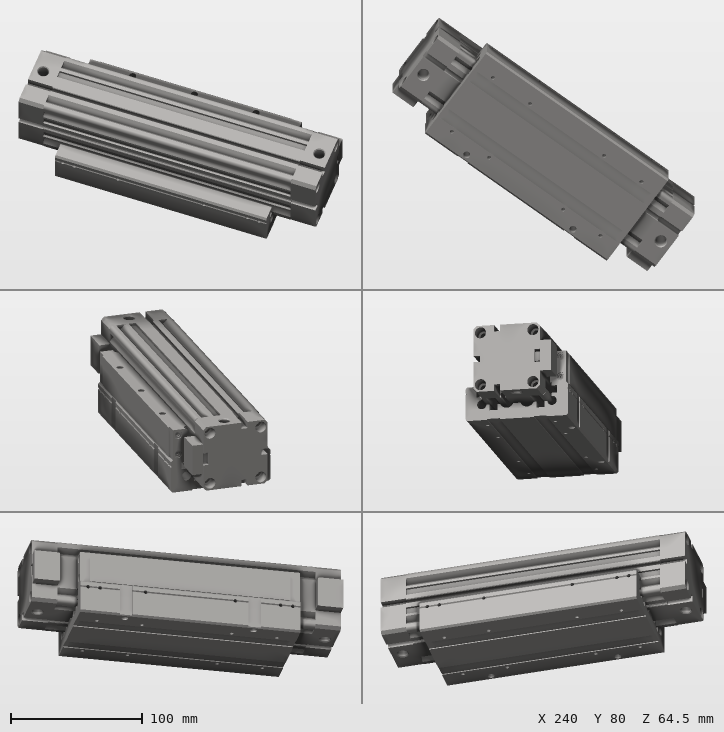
import cadquery as cq


total_length = 240.0
body_width = 51.5
body_height = 51.8
half_width = body_width / 2
half_height = body_height / 2
cap_length = 20.0
tube_length = total_length - 2 * cap_length
carriage_length = 171.0
carriage_width = 80.0
carriage_half = carriage_width / 2
total_height = 64.5
carriage_bottom = half_height - total_height
carriage_top = -12.2

tube_corner_radius = 3.0
v_groove_offset = 17.0
v_groove_half = 3.5
shallow_groove_half = 3.0
shallow_groove_depth = 2.0
side_shallow_offset = 8.6
top_shallow_offset = 7.7
t_slot_offset = -7.5
t_slot_lip_half = 1.5
t_slot_lip_chamfer = 0.5
t_slot_bore_radius = 2.0
t_slot_bore_depth = 2.5

cap_chamfer = 2.5
cap_slot_half = 2.5
cap_slot_depth = 5.0
corner_hole_offset = 20.5
corner_hole_radius = 2.6
corner_bore_radius = 4.3
corner_bore_depth = 12.0
port_x = 111.5
port_y = 6.0
port_radius = 4.0
port_mouth_radius = 4.8
key_slot_half = 5.0
key_slot_depth = 4.3

stop_width = 8.6
stop_height = 24.0
stop_inset = 0.2
stop_chamfer = 0.7
key_half = 3.5
key_setback = 2.5

carriage_chamfer = 1.5
lip_chamfer = 0.7
channel_half = 27.0
channel_floor = -26.6
side_pocket_half = 31.5
side_pocket_top = -14.6
side_pocket_bottom = -20.5
corner_relief_y = 27.4
corner_relief_z = -26.5
corner_relief_radius = 3.5
square_groove_y = 18.2
square_groove_width = 6.2
square_groove_depth = 4.5
round_groove_y = 8.0
round_groove_half = 5.0
round_groove_depth = 3.4
base_groove_y = 18.2
base_groove_width = 9.8
base_groove_depth = 0.7
side_line_z = -17.5
side_line_size = 0.7
side_hole_xs = (34.8, 70.0, 79.5)
side_hole_radius = 1.5
side_hole_depth = 4.8
drain_hole_xs = (34.8, 69.8)
drain_hole_radius = 1.5
mount_hole_x = 50.0
mount_hole_y = 34.5
mount_hole_radius = 2.6
edge_notch_width = 9.5
edge_notch_depth = 0.7

bracket_height = -2 * carriage_top
bracket_inner = 26.0
bracket_outer = 39.0
bracket_chamfer = 0.7
end_block_outer = 38.5
end_block_length = 7.7
middle_hole_depth = 4.8
socket_steps = ((3.0, 1.0), (2.2, 2.0), (1.2, 3.0))
end_socket_y = 34.3
end_socket_z = 8.0
top_socket_x = 83.0
top_socket_y = 25.5


def box(x_range, y_range, z_range):
    """Box between two X, two Y and two Z values."""
    (x0, x1), (y0, y1), (z0, z1) = x_range, y_range, z_range
    return cq.Workplane("XY").box(x1 - x0, y1 - y0, z1 - z0, centered=False).translate((x0, y0, z0))


def cylinder(start, direction, radius, length):
    """Cylinder from a start point along a direction."""
    return cq.Workplane(obj=cq.Solid.makeCylinder(radius, length, cq.Vector(*start), cq.Vector(*direction)))


def bar(half_length, y, z, width, height):
    """Bar along X with its section centred on (y, z)."""
    return cq.Workplane("XY").box(2 * half_length, width, height).translate((0, y, z))


def mirrored(solid):
    """Copy of a solid on the other X end."""
    return solid.mirror("YZ")


TOP, PLUS_Y, BOTTOM, MINUS_Y = 0, -90, 180, 90
sensor_slots = ((TOP, t_slot_offset), (BOTTOM, -t_slot_offset), (MINUS_Y, 0))
side_distance = {TOP: half_height, BOTTOM: half_height, PLUS_Y: half_width, MINUS_Y: half_width}


def on_side(cutter, side):
    """Move a cutter made at Z = 0 below a +Z facing surface onto a side of the body."""
    return cutter.translate((0, 0, side_distance[side])).rotate((0, 0, 0), (1, 0, 0), side)


def v_cutter(y, half, depth):
    """V-shaped cutter along the tube, open at Z = 0."""
    return (
        cq.Workplane("YZ", origin=(-tube_length / 2, 0, 0))
        .moveTo(y - half, 0)
        .lineTo(y + half, 0)
        .lineTo(y, -depth)
        .close()
        .extrude(tube_length)
    )


def t_slot(y):
    """Sensor slot cutter: a chamfered narrow lip above a round bore."""
    lip = bar(tube_length / 2, y, -t_slot_bore_depth / 2, 2 * t_slot_lip_half, t_slot_bore_depth)
    mouth_half = t_slot_lip_half + t_slot_lip_chamfer
    mouth = v_cutter(y, mouth_half, mouth_half)
    bore_start = (-tube_length / 2, y, -t_slot_bore_depth)
    return lip.union(mouth).union(cylinder(bore_start, (1, 0, 0), t_slot_bore_radius, tube_length))


def shallow_groove(y):
    """Flat shallow groove cutter."""
    return bar(tube_length / 2, y, -shallow_groove_depth / 2, 2 * shallow_groove_half, shallow_groove_depth)


def make_tube():
    tube = cq.Workplane("XY").box(tube_length, body_width, body_height).edges("|X").fillet(tube_corner_radius)
    for side in (TOP, PLUS_Y, BOTTOM, MINUS_Y):
        for sign in (-1, 1):
            groove = v_cutter(sign * v_groove_offset, v_groove_half, v_groove_half)
            tube = tube.cut(on_side(groove, side))
    for sign in (-1, 1):
        tube = tube.cut(on_side(shallow_groove(sign * side_shallow_offset), MINUS_Y))
    tube = tube.cut(on_side(shallow_groove(top_shallow_offset), TOP))
    for side, y in sensor_slots:
        tube = tube.cut(on_side(t_slot(y), side))
    return tube


def make_end_cap():
    """End cap on the -X end."""
    outer_x = -total_length / 2
    inner_x = outer_x + cap_length
    cap = cq.Workplane("XY").box(cap_length, body_width, body_height).edges("|X").chamfer(cap_chamfer)
    cap = cap.translate((outer_x + cap_length / 2, 0, 0))

    for side, y in sensor_slots:
        slot = bar(total_length, y, -cap_slot_depth / 2, 2 * cap_slot_half, cap_slot_depth)
        cap = cap.cut(on_side(slot, side))

    for y in (-corner_hole_offset, corner_hole_offset):
        for z in (-corner_hole_offset, corner_hole_offset):
            cap = cap.cut(cylinder((outer_x, y, z), (1, 0, 0), corner_hole_radius, cap_length))
            cap = cap.cut(cylinder((outer_x, y, z), (1, 0, 0), corner_bore_radius, corner_bore_depth))

    port = cq.Workplane("XY").center(-port_x, port_y).circle(port_radius).extrude(half_height, both=True)
    cap = cap.cut(port)
    mouth_depth = port_mouth_radius - port_radius
    for sign in (-1, 1):
        mouth = cq.Solid.makeCone(
            port_mouth_radius, port_radius, mouth_depth,
            cq.Vector(-port_x, port_y, sign * half_height), cq.Vector(0, 0, -sign),
        )
        cap = cap.cut(cq.Workplane(obj=mouth))

    return cap.cut(
        box((outer_x, inner_x), (half_width - key_slot_depth, half_width), (-key_slot_half, key_slot_half))
    )


def make_stop_block():
    """Stop block on the -X end cap, with a key that enters the cap's key slot."""
    outer_x = -total_length / 2 + stop_inset
    inner_x = -total_length / 2 + cap_length
    half = stop_height / 2
    block = box((outer_x, inner_x), (half_width, half_width + stop_width), (-half, half))
    block = block.edges("|Y and >X").chamfer(stop_chamfer)
    key_y = (half_width - key_slot_depth, half_width)
    key = box((outer_x + key_setback, inner_x), key_y, (-key_half, key_half))
    return block.union(key)


def carriage_body():
    """U-shaped carriage with its lengthwise pockets and grooves."""
    half_length = carriage_length / 2
    height = carriage_top - carriage_bottom
    middle_z = (carriage_top + carriage_bottom) / 2
    body = bar(half_length, 0, middle_z, carriage_width, height).edges("|X").chamfer(carriage_chamfer)

    channel_height = carriage_top - channel_floor
    channel_z = (carriage_top + channel_floor) / 2
    body = body.cut(bar(half_length, 0, channel_z, 2 * channel_half, channel_height))
    inner_lips = cq.selectors.BoxSelector(
        (-half_length, -channel_half - lip_chamfer, carriage_top - lip_chamfer),
        (half_length, channel_half + lip_chamfer, carriage_top + lip_chamfer),
    )
    body = body.edges(inner_lips).edges("|X").chamfer(lip_chamfer)

    pocket_z = (side_pocket_top + side_pocket_bottom) / 2
    pocket_height = side_pocket_top - side_pocket_bottom
    body = body.cut(bar(half_length, 0, pocket_z, 2 * side_pocket_half, pocket_height))

    square_z = channel_floor - square_groove_depth / 2
    base_z = carriage_bottom + base_groove_depth / 2
    round_radius = (round_groove_half ** 2 + round_groove_depth ** 2) / (2 * round_groove_depth)
    round_z = channel_floor - round_groove_depth + round_radius
    for sign in (-1, 1):
        relief_start = (-half_length, sign * corner_relief_y, corner_relief_z)
        round_start = (-half_length, sign * round_groove_y, round_z)
        body = (
            body.cut(cylinder(relief_start, (1, 0, 0), corner_relief_radius, carriage_length))
            .cut(cylinder(round_start, (1, 0, 0), round_radius, carriage_length))
            .cut(bar(half_length, sign * square_groove_y, square_z, square_groove_width, square_groove_depth))
            .cut(bar(half_length, sign * base_groove_y, base_z, base_groove_width, base_groove_depth))
        )
        line_section = (
            cq.Workplane("YZ", origin=(-half_length, 0, 0))
            .moveTo(sign * carriage_half, side_line_z - side_line_size)
            .lineTo(sign * (carriage_half - side_line_size), side_line_z)
            .lineTo(sign * carriage_half, side_line_z + side_line_size)
            .close()
        )
        body = body.cut(line_section.extrude(carriage_length))
    return body


def make_carriage():
    carriage = carriage_body()
    height = carriage_top - carriage_bottom
    for x_sign in (-1, 1):
        for y_sign in (-1, 1):
            for x in side_hole_xs:
                start = (x_sign * x, y_sign * carriage_half, side_line_z)
                carriage = carriage.cut(cylinder(start, (0, -y_sign, 0), side_hole_radius, side_hole_depth))
            for x in drain_hole_xs:
                start = (x_sign * x, y_sign * (half_width + channel_half) / 2, carriage_bottom)
                drain_length = channel_floor - carriage_bottom
                carriage = carriage.cut(cylinder(start, (0, 0, 1), drain_hole_radius, drain_length))
        mount_start = (x_sign * mount_hole_x, mount_hole_y, carriage_bottom)
        carriage = carriage.cut(cylinder(mount_start, (0, 0, 1), mount_hole_radius, height))
        notch_x = x_sign * mount_hole_x
        carriage = carriage.cut(
            box(
                (notch_x - edge_notch_width / 2, notch_x + edge_notch_width / 2),
                (carriage_half - edge_notch_depth, carriage_half),
                (carriage_bottom, carriage_top),
            )
        )
    return carriage


def make_bracket():
    """Plate standing on the +Y wall of the carriage, between the end blocks."""
    half_length = carriage_length / 2 - end_block_length
    bracket = box((-half_length, half_length), (bracket_inner, bracket_outer), (carriage_top, -carriage_top))
    bracket = bracket.edges(">Y and >Z").chamfer(bracket_chamfer)
    for x in (-mount_hole_x, mount_hole_x):
        bracket = bracket.cut(
            cylinder((x, mount_hole_y, carriage_top), (0, 0, 1), mount_hole_radius, bracket_height)
        )
    middle_start = (0, mount_hole_y, -carriage_top)
    return bracket.cut(cylinder(middle_start, (0, 0, -1), mount_hole_radius, middle_hole_depth))


def socket(start, direction):
    """Stepped blind socket cutter."""
    cutter = cq.Workplane()
    for radius, depth in socket_steps:
        cutter = cutter.add(cylinder(start, direction, radius, depth))
    return cutter.combine()


def make_end_block():
    """Block at the -X end of the bracket."""
    outer_x = -carriage_length / 2
    inner_x = outer_x + end_block_length
    block = box((outer_x, inner_x), (bracket_inner, end_block_outer), (carriage_top, -carriage_top))
    for z in (-end_socket_z, end_socket_z):
        block = block.cut(socket((outer_x, end_socket_y, z), (1, 0, 0)))
    return block.cut(socket((-top_socket_x, top_socket_y, -carriage_top), (0, 0, -1)))


tube = make_tube()
end_cap = make_end_cap()
stop_block = make_stop_block()
carriage = make_carriage()
bracket = make_bracket()
end_block = make_end_block()

end_parts = []
for left_part in (end_cap, stop_block, end_block):
    end_parts.append(left_part.val())
    end_parts.append(mirrored(left_part).val())

result = cq.Compound.makeCompound([tube.val(), carriage.val(), bracket.val(), *end_parts])